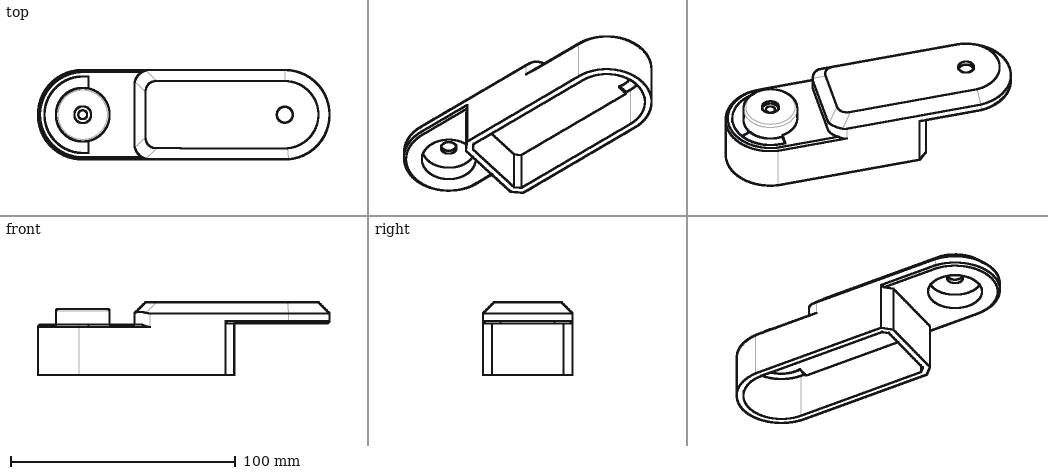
import cadquery as cq
import math


END_RADIUS = 20.0
SIDE_PLUS_Y = END_RADIUS
SIDE_MINUS_Y = -19.93
PITCH = 90.0

BASE_TOP = 22.5
BASE_END_X = 67.5
BASE_CORNER_CHAMFER = 4.0
RIM_CHAMFER = 1.0
WALL = 3.0
WEB_THICKNESS = 1.0
WINDOW_EDGE_X = 2.5

BUTTON_DIAMETER = 24.0
BUTTON_TOP = 29.5
BUTTON_RIM_FILLET = 1.0
COUNTERBORE_DIAMETER = 7.5
COUNTERBORE_DEPTH = 1.5
SCREW_HOLE_DIAMETER = 4.0
SCREW_HOLE_DEPTH = 4.0

PLATE_START_X = 23.0
PLATE_BOTTOM = 23.0
PLATE_TOP = 32.5
PLATE_TOP_CHAMFER = 5.0
PLATE_BOTTOM_CHAMFER = 1.0
PLATE_CORNER_RADIUS = 7.0
START_SLOPE_NORMAL = cq.Vector(-1, 0, 1)
PLATE_HOLE_DIAMETER = 7.0
PLATE_ROOF = 2.0
SOCKET_DIAMETER = BUTTON_DIAMETER

WEB_BOTTOM = BASE_TOP - WEB_THICKNESS
NECK_BOTTOM = BASE_TOP - RIM_CHAMFER
NECK_TOP = PLATE_BOTTOM + PLATE_BOTTOM_CHAMFER
SOCKET_ROOF = PLATE_TOP - PLATE_ROOF

ARC_OVERRUN = math.sqrt(END_RADIUS**2 - SIDE_MINUS_Y**2)

CAVITY_CORNER_CHAMFER = BASE_CORNER_CHAMFER - WALL * (2 - math.sqrt(2))


def cylinder(x, diameter, bottom, top):
    """Upright cylinder on the centre line."""
    return cq.Workplane("XY", origin=(x, 0, bottom)).circle(diameter / 2).extrude(top - bottom)


def block(x_range, y_range, z_range):
    """Box given by its limits along each axis."""
    (x0, x1), (y0, y1), (z0, z1) = x_range, y_range, z_range
    return cq.Workplane("XY").box(x1 - x0, y1 - y0, z1 - z0, centered=False).translate((x0, y0, z0))


def base_prism(bottom, top):
    """Base outline: round at the button end, bevelled corners at the other."""
    bevel_x = BASE_END_X - BASE_CORNER_CHAMFER
    return (
        cq.Workplane("XY", origin=(0, 0, bottom))
        .moveTo(0, SIDE_PLUS_Y)
        .threePointArc((-END_RADIUS, 0), (-ARC_OVERRUN, SIDE_MINUS_Y))
        .lineTo(bevel_x, SIDE_MINUS_Y)
        .lineTo(BASE_END_X, SIDE_MINUS_Y + BASE_CORNER_CHAMFER)
        .lineTo(BASE_END_X, SIDE_PLUS_Y - BASE_CORNER_CHAMFER)
        .lineTo(bevel_x, SIDE_PLUS_Y)
        .close()
        .extrude(top - bottom)
    )


def plate_prism(bottom, top):
    """Plate outline with square corners at the start and a round far end."""
    return (
        cq.Workplane("XY", origin=(0, 0, bottom))
        .moveTo(PLATE_START_X, SIDE_PLUS_Y)
        .lineTo(PITCH, SIDE_PLUS_Y)
        .threePointArc((PITCH + END_RADIUS, 0), (PITCH + ARC_OVERRUN, SIDE_MINUS_Y))
        .lineTo(PLATE_START_X, SIDE_MINUS_Y)
        .close()
        .extrude(top - bottom)
    )


def rounded_plate_prism(bottom, top):
    """Plate outline with its two start corners rounded."""
    return plate_prism(bottom, top).faces("<X").edges("|Z").fillet(PLATE_CORNER_RADIUS)


def make_base():
    return base_prism(0, BASE_TOP).faces(">Z").edges().chamfer(RIM_CHAMFER)


def make_plate():
    """Chamfered slab whose sloping and upright start corners are both rounded."""
    slab = plate_prism(PLATE_BOTTOM, PLATE_TOP)
    slab = slab.faces(">Z").edges().chamfer(PLATE_TOP_CHAMFER)
    sloping_corners = slab.faces(cq.selectors.ParallelDirSelector(START_SLOPE_NORMAL)).edges("not |Y")
    slab = sloping_corners.fillet(PLATE_CORNER_RADIUS)
    envelope = rounded_plate_prism(PLATE_BOTTOM, PLATE_TOP)
    envelope = envelope.faces("<Z").edges().chamfer(PLATE_BOTTOM_CHAMFER)
    return slab.intersect(envelope)


def make_neck():
    """Solid joining base and plate, flush with the sides of both."""
    return base_prism(NECK_BOTTOM, NECK_TOP).intersect(rounded_plate_prism(NECK_BOTTOM, NECK_TOP))


def make_cavity():
    """Hollow of the base below the web, and the window through the web."""
    inner_radius = END_RADIUS - WALL
    inner_y = (-inner_radius, inner_radius)

    def hollow(end_x, bottom, top):
        round_end = cylinder(0, 2 * inner_radius, bottom, top)
        round_end = round_end.intersect(block((-END_RADIUS, end_x), inner_y, (bottom, top)))
        return round_end.union(block((0, end_x), inner_y, (bottom, top)))

    cavity = hollow(BASE_END_X - WALL, 0, WEB_BOTTOM)
    cavity = cavity.edges("|Z and >X").chamfer(CAVITY_CORNER_CHAMFER)
    return cavity.union(hollow(WINDOW_EDGE_X, 0, BASE_TOP))


def make_button():
    button = cylinder(0, BUTTON_DIAMETER, WEB_BOTTOM, BUTTON_TOP)
    button = button.faces(">Z").edges().fillet(BUTTON_RIM_FILLET)
    floor = BUTTON_TOP - COUNTERBORE_DEPTH
    button = button.cut(cylinder(0, COUNTERBORE_DIAMETER, floor, BUTTON_TOP))
    return button.cut(cylinder(0, SCREW_HOLE_DIAMETER, floor - SCREW_HOLE_DEPTH, floor))


body = make_base().cut(make_cavity()).union(make_neck()).union(make_plate())
body = body.cut(cylinder(PITCH, SOCKET_DIAMETER, PLATE_BOTTOM, SOCKET_ROOF))
body = body.cut(cylinder(PITCH, PLATE_HOLE_DIAMETER, SOCKET_ROOF, PLATE_TOP))
result = body.union(make_button())